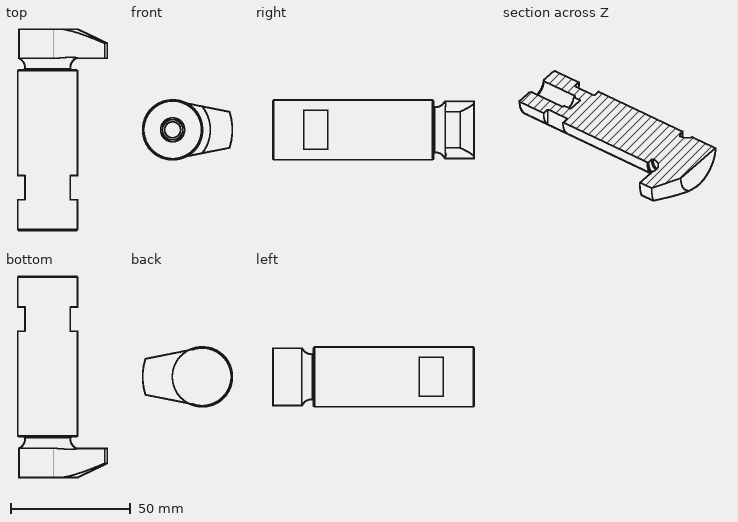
import cadquery as cq
import math

LENGTH = 84.0
SHAFT_RADIUS = 12.5
SHAFT_CHAMFER = 0.5
SHAFT_LENGTH = 67.0

HEAD_RADIUS = 12.0
HEAD_THICKNESS = 12.2
ARM_REACH = 24.95
ARM_TAPER = 11.2
BACK_SLOPE = 25.5

GROOVE_RADIUS = 4.4
GROOVE_ARM_RADIUS = 15.7
GROOVE_CENTER_RADIUS = (HEAD_RADIUS + GROOVE_ARM_RADIUS) / 2
NECK_FOOT = 0.4

FLAT_OFFSET = 9.5
FLAT_START = 12.9
FLAT_WIDTH = 10.0

HOLE_MOUTH_DIAMETER = 10.0
HOLE_DIAMETER = 8.5
HOLE_DEPTH = 16.8
PILOT_DIAMETER = 6.6
PILOT_DEPTH = 20.2

HEAD_UNDERSIDE = LENGTH - HEAD_THICKNESS
GROOVE_RUNOUT = GROOVE_ARM_RADIUS - GROOVE_CENTER_RADIUS
GROOVE_CENTER_Y = HEAD_UNDERSIDE - math.sqrt(GROOVE_RADIUS**2 - GROOVE_RUNOUT**2)
FOOT_Y = SHAFT_LENGTH + NECK_FOOT
NECK_RADIUS = GROOVE_CENTER_RADIUS - math.sqrt(GROOVE_RADIUS**2 - (GROOVE_CENTER_Y - FOOT_Y) ** 2)
AXIS_START = (0, 0, 0)
AXIS_END = (0, 1, 0)


def revolve_about_y(profile):
    """Close a profile drawn in the XY plane and turn it about the Y axis."""
    return profile.close().revolve(360, AXIS_START, AXIS_END)


def make_shaft():
    shaft = cq.Workplane("XZ").circle(SHAFT_RADIUS).extrude(-SHAFT_LENGTH)
    return shaft.faces("<Y or >Y").edges().chamfer(SHAFT_CHAMFER)


def make_head():
    """Boss and arm, with the sides of the arm tangent to the boss."""
    taper = math.radians(ARM_TAPER)
    tangent_x = HEAD_RADIUS * math.sin(taper)
    tangent_z = HEAD_RADIUS * math.cos(taper)
    tip_angle = math.acos(HEAD_RADIUS / ARM_REACH)
    tip_direction = math.pi / 2 - taper - tip_angle
    tip_x = ARM_REACH * math.cos(tip_direction)
    tip_z = ARM_REACH * math.sin(tip_direction)
    blank = (
        cq.Workplane("XZ", origin=(0, HEAD_UNDERSIDE, 0))
        .moveTo(tangent_x, tangent_z)
        .lineTo(tip_x, tip_z)
        .threePointArc((ARM_REACH, 0), (tip_x, -tip_z))
        .lineTo(tangent_x, -tangent_z)
        .threePointArc((-HEAD_RADIUS, 0), (tangent_x, tangent_z))
        .close()
        .extrude(-HEAD_THICKNESS)
    )
    slope_drop = (ARM_REACH - SHAFT_RADIUS) * math.tan(math.radians(BACK_SLOPE))
    envelope = revolve_about_y(
        cq.Workplane("XY")
        .moveTo(0, HEAD_UNDERSIDE)
        .lineTo(ARM_REACH, HEAD_UNDERSIDE)
        .lineTo(ARM_REACH, LENGTH - slope_drop)
        .lineTo(SHAFT_RADIUS, LENGTH)
        .lineTo(0, LENGTH)
    )
    return blank.intersect(envelope)


def make_neck():
    """Bevelled foot on the shaft and a blank up to the head, waisted by the groove."""
    return revolve_about_y(
        cq.Workplane("XY")
        .moveTo(0, SHAFT_LENGTH)
        .lineTo(NECK_RADIUS + NECK_FOOT, SHAFT_LENGTH)
        .lineTo(NECK_RADIUS, FOOT_Y)
        .lineTo(HEAD_RADIUS, FOOT_Y)
        .lineTo(HEAD_RADIUS, HEAD_UNDERSIDE)
        .lineTo(0, HEAD_UNDERSIDE)
    )


def make_groove():
    """Ring of round section, cut off flat at the foot of the neck."""
    groove_top = (GROOVE_CENTER_RADIUS, GROOVE_CENTER_Y + GROOVE_RADIUS)
    return revolve_about_y(
        cq.Workplane("XY")
        .moveTo(NECK_RADIUS, FOOT_Y)
        .threePointArc(groove_top, (2 * GROOVE_CENTER_RADIUS - NECK_RADIUS, FOOT_Y))
    )


def make_flat_cutters():
    """Two blocks whose inner faces are the wrench flats."""
    depth = SHAFT_RADIUS
    cutters = cq.Workplane("XY")
    for side in (-1, 1):
        center_x = side * (FLAT_OFFSET + depth / 2)
        center_y = FLAT_START + FLAT_WIDTH / 2
        block = cq.Workplane("XY").box(depth, FLAT_WIDTH, 2 * SHAFT_RADIUS)
        cutters = cutters.add(block.translate((center_x, center_y, 0)))
    return cutters.combine()


def make_hole():
    mouth_radius = HOLE_MOUTH_DIAMETER / 2
    hole_radius = HOLE_DIAMETER / 2
    pilot_radius = PILOT_DIAMETER / 2
    return revolve_about_y(
        cq.Workplane("XY")
        .lineTo(mouth_radius, 0)
        .lineTo(hole_radius, mouth_radius - hole_radius)
        .lineTo(hole_radius, HOLE_DEPTH)
        .lineTo(pilot_radius, HOLE_DEPTH)
        .lineTo(pilot_radius, PILOT_DEPTH)
        .lineTo(0, PILOT_DEPTH)
    )


result = (
    make_head()
    .union(make_neck())
    .cut(make_groove())
    .union(make_shaft())
    .cut(make_flat_cutters())
    .cut(make_hole())
)